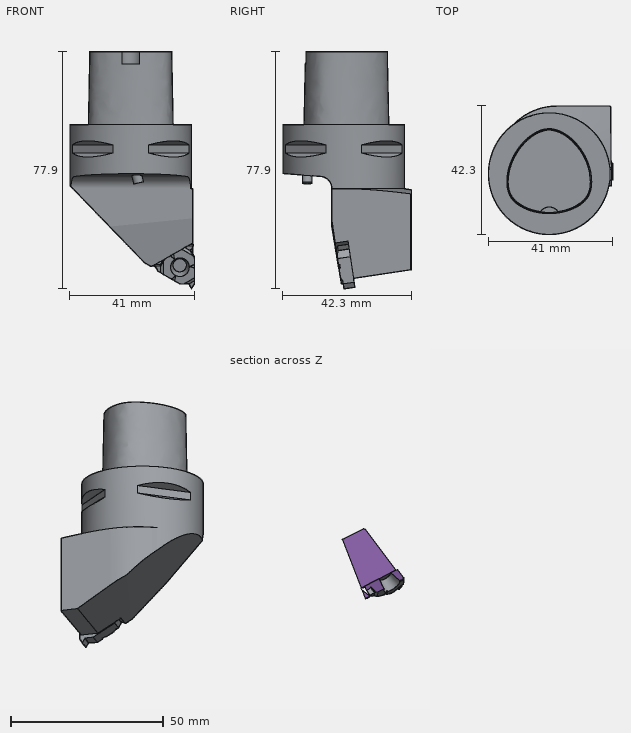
import cadquery as cq
import math

FLANGE_R = 40.0 / 2
FLANGE_DEPTH = 21.0
FAR = 78.0
SIN_60 = math.sin(math.radians(60))
COS_60 = math.cos(math.radians(60))

SHANK_HEIGHT = 24.0
SHANK_R_BASE = 13.95
SHANK_R_TOP = 13.5
LOBE_HEIGHT = 0.85
PROFILE_POINTS = 36
KEYWAY_R = 3.4
KEYWAY_DEPTH = 4.05
KEYWAY_INNER_Y = -10.9

SLOT_ANGLES = (45, 135, 225, 315)
SLOT_Z = -7.95
SLOT_FLOOR_R = 17.6
SLOT_FLOOR_WIDTH = 2.6
SLOT_WALL_ANGLE = 30.0

HEAD_SHIFT = (2.6, 2.3)
HEAD_BACK_Y = HEAD_SHIFT[1] + FLANGE_R
BACK_ARC_END = 130.0
BACK_FLAT_REACH = 3.9
HEAD_FRONT_Y = -4.0
HEAD_RIGHT_X = 20.4
HEAD_RIGHT_BACK_X = 20.2
CORNER_CHAMFER = 0.4
SHOULDER_ANGLE = 10.0
HEAD_BOTTOM_Z = -56.15

RELIEF_FILLET = 3.9
RELIEF_EDGE_Z = -16.1
RELIEF_INNER_Z = -17.0

SLOPE_START_Z = -20.0
SLOPE_ANGLE = 46.0

FOLD_POINT = (-6.6, -33.5)
RAKE_SLOPE = 0.15
FOLD_SLOPE = 0.1
INSERT_X = 16.15
INSERT_Z = -46.8

APOTHEM = 4.8
INSERT_THICKNESS = 4.2
CORNER_V = -5.6
TOOTH_INNER = (3.0, -5.8)
TOOTH_TIP = (3.8, -7.3)
TOOTH_RECESS = 0.55
RAMP_WIDTH = 0.9
RAMP_DISTANCE = 5.45
BORE_TOP_R = 6.15 / 2
BORE_BOTTOM_R = 2.2
MARK_WIDTH = 1.2
MARK_INNER_U = 3.1
MARK_V = 0.2
MARK_DEPTH = 0.4
HOLDER_INSET = 0.27
HOLDER_END_V = -4.4

NOZZLE_R = 3.3 / 2
NOZZLE_END = (2.6, -12.0, -19.1)
NOZZLE_TILT = 13.0
NOZZLE_LENGTH = 4.7


def rake_workplane():
    """Workplane on the rake face, centred on the insert, normal pointing out."""
    fold_z = FOLD_POINT[1] + FOLD_SLOPE * (INSERT_X - FOLD_POINT[0])
    face_y = HEAD_FRONT_Y + RAKE_SLOPE * (fold_z - INSERT_Z)
    plane = cq.Plane(
        origin=(INSERT_X, face_y, INSERT_Z),
        xDir=(1, RAKE_SLOPE * FOLD_SLOPE, 0),
        normal=(RAKE_SLOPE * FOLD_SLOPE, -1, -RAKE_SLOPE),
    )
    return cq.Workplane(plane)


RAKE = rake_workplane()


def lobed_profile(mean_r):
    """Closed curve of nearly constant width, with one lobe towards +Y."""
    points = []
    for i in range(PROFILE_POINTS):
        angle = 2 * math.pi * i / PROFILE_POINTS
        lobe_angle = 3 * (angle - math.pi / 2)
        reach = mean_r + LOBE_HEIGHT * math.cos(lobe_angle)
        reach_change = -3 * LOBE_HEIGHT * math.sin(lobe_angle)
        x = reach * math.cos(angle) - reach_change * math.sin(angle)
        y = reach * math.sin(angle) + reach_change * math.cos(angle)
        points.append((x, y))
    return points


def make_shank():
    shank = (
        cq.Workplane("XY")
        .spline(lobed_profile(SHANK_R_BASE), periodic=True).close()
        .workplane(offset=SHANK_HEIGHT)
        .spline(lobed_profile(SHANK_R_TOP), periodic=True).close()
        .loft(ruled=True)
    )
    keyway = (
        cq.Workplane("XY", origin=(0, KEYWAY_INNER_Y - KEYWAY_R, SHANK_HEIGHT - KEYWAY_DEPTH))
        .circle(KEYWAY_R)
        .extrude(KEYWAY_DEPTH)
    )
    return shank.cut(keyway)


def make_gripper_slot(angle):
    depth = FLANGE_R - SLOT_FLOOR_R
    floor_half = SLOT_FLOOR_WIDTH / 2
    mouth_half = floor_half + depth * math.tan(math.radians(SLOT_WALL_ANGLE))
    return (
        cq.Workplane("XZ", origin=(0, 0, SLOT_Z))
        .polyline([
            (SLOT_FLOOR_R, -floor_half), (FLANGE_R, -mouth_half),
            (FLANGE_R, mouth_half), (SLOT_FLOOR_R, floor_half),
        ])
        .close()
        .extrude(FLANGE_R, both=True)
        .rotate((0, 0, 0), (0, 0, 1), angle)
    )


def make_wedge():
    """Part of the head that stands outside the flange cylinder, with a conical top."""
    shift_x, shift_y = HEAD_SHIFT

    def on_back_arc(degrees):
        angle = math.radians(degrees)
        return (shift_x + FLANGE_R * math.cos(angle), shift_y + FLANGE_R * math.sin(angle))

    arc_end = on_back_arc(BACK_ARC_END)
    flat_end = (arc_end[0] - BACK_FLAT_REACH, arc_end[1] - BACK_FLAT_REACH)
    wedge = (
        cq.Workplane("XY", origin=(0, 0, HEAD_BOTTOM_Z))
        .moveTo(*flat_end)
        .lineTo(*arc_end)
        .threePointArc(on_back_arc((90 + BACK_ARC_END) / 2), on_back_arc(90))
        .lineTo(HEAD_RIGHT_BACK_X - CORNER_CHAMFER, HEAD_BACK_Y)
        .lineTo(HEAD_RIGHT_BACK_X, HEAD_BACK_Y - CORNER_CHAMFER)
        .lineTo(HEAD_RIGHT_X, HEAD_FRONT_Y)
        .lineTo(0, HEAD_FRONT_Y)
        .close()
        .extrude(-HEAD_BOTTOM_Z)
    )
    rim_r = 2 * FLANGE_R
    cone_drop = FLANGE_R * math.tan(math.radians(SHOULDER_ANGLE))
    above_shoulder = (
        cq.Workplane("XZ")
        .polyline([
            (0, cone_drop - FLANGE_DEPTH), (rim_r, -cone_drop - FLANGE_DEPTH),
            (rim_r, FLANGE_DEPTH), (0, FLANGE_DEPTH),
        ])
        .close()
        .revolve(360, (0, 0, 0), (0, 1, 0))
    )
    return wedge.cut(above_shoulder)


def make_front_relief():
    """Space in front of the head, running up into the flange with a round corner."""
    fillet_y = HEAD_FRONT_Y - RELIEF_FILLET
    fillet_z = RELIEF_INNER_Z - RELIEF_FILLET
    arc_step = RELIEF_FILLET * math.sqrt(0.5)
    return (
        cq.Workplane("YZ")
        .moveTo(-FAR, RELIEF_EDGE_Z)
        .lineTo(-FLANGE_R, RELIEF_EDGE_Z)
        .lineTo(fillet_y, RELIEF_INNER_Z)
        .threePointArc((fillet_y + arc_step, fillet_z + arc_step), (HEAD_FRONT_Y, fillet_z))
        .lineTo(HEAD_FRONT_Y, -FAR)
        .lineTo(-FAR, -FAR)
        .close()
        .extrude(FAR, both=True)
    )


def make_left_slope():
    drop = FAR * math.tan(math.radians(SLOPE_ANGLE))
    return (
        cq.Workplane("XZ")
        .polyline([
            (-FLANGE_R, SLOPE_START_Z), (-FLANGE_R + FAR, SLOPE_START_Z - drop),
            (-FAR, SLOPE_START_Z - drop), (-FAR, SLOPE_START_Z),
        ])
        .close()
        .extrude(FAR, both=True)
    )


def edge_point(u, distance):
    """Point at u on the lower-left insert edge direction, at a distance from centre."""
    return (u, -(distance + u * COS_60) / SIN_60)


def make_end_trim():
    """Material below the slanted end face and below the square end."""
    face_distance = APOTHEM - HOLDER_INSET
    corner_u = (-HOLDER_END_V * SIN_60 - face_distance) / COS_60
    return (
        RAKE.polyline([
            edge_point(-FAR, face_distance), (corner_u, HOLDER_END_V),
            (FAR, HOLDER_END_V), (FAR, -FAR), (-FAR, -FAR),
        ])
        .close()
        .extrude(FAR, both=True)
    )


def make_insert_pocket():
    """Pocket open downwards, with its upper wall on the insert's upper-left edge."""
    left = edge_point(-FAR, APOTHEM)
    right = edge_point(FAR, APOTHEM)
    return (
        RAKE.polyline([(left[0], -left[1]), (left[0], right[1]), right, (right[0], -right[1])])
        .close()
        .extrude(-INSERT_THICKNESS)
    )


def make_nozzle():
    tilt = math.radians(NOZZLE_TILT)
    plane = cq.Plane(
        origin=NOZZLE_END,
        xDir=(0, 1, 0),
        normal=(-math.sin(tilt), 0, math.cos(tilt)),
    )
    return cq.Workplane(plane).circle(NOZZLE_R).extrude(NOZZLE_LENGTH)


def make_holder():
    cylinder = cq.Workplane("XY").circle(FLANGE_R).extrude(HEAD_BOTTOM_Z)
    holder = cylinder.union(make_wedge()).cut(make_front_relief())
    for angle in SLOT_ANGLES:
        holder = holder.cut(make_gripper_slot(angle))
    above_rake = RAKE.rect(2 * FAR, 2 * FAR).extrude(FAR)
    below_flange = cq.Workplane("XY", origin=(0, 0, -FLANGE_DEPTH)).rect(2 * FAR, 2 * FAR).extrude(-FAR)
    holder = holder.cut(above_rake.intersect(below_flange))
    for cutter in (make_left_slope(), make_end_trim(), make_insert_pocket()):
        holder = holder.cut(cutter)
    return holder.union(make_shank()).union(make_nozzle())


def rotate_point(point, degrees):
    angle = math.radians(degrees)
    u, v = point
    return (
        u * math.cos(angle) - v * math.sin(angle),
        u * math.sin(angle) + v * math.cos(angle),
    )


def make_insert():
    edge_end_u = (-CORNER_V * SIN_60 - APOTHEM) / COS_60
    corner = [
        (edge_end_u, CORNER_V),
        (TOOTH_INNER[0], CORNER_V),
        TOOTH_INNER,
        TOOTH_TIP,
        (APOTHEM, CORNER_V),
    ]
    turns = (0, 120, 240)
    outline = [rotate_point(point, turn) for turn in turns for point in corner]
    insert = RAKE.polyline(outline).close().extrude(-INSERT_THICKNESS)

    across = 2 * APOTHEM
    for turn in turns:
        out_u, out_v = rotate_point((1, 0), turn - 60)
        out_dir = RAKE.plane.xDir * out_u + RAKE.plane.yDir * out_v
        side_dir = RAKE.plane.zDir.cross(out_dir)
        recess_plane = cq.Plane(origin=RAKE.plane.origin, xDir=out_dir, normal=side_dir * -1)
        recess = (
            cq.Workplane(recess_plane)
            .polyline([
                (RAMP_DISTANCE, 0), (RAMP_DISTANCE + RAMP_WIDTH, -TOOTH_RECESS),
                (across, -TOOTH_RECESS), (across, 0),
            ])
            .close()
            .extrude(across, both=True)
        )
        mark_corners = [
            (MARK_INNER_U, MARK_V),
            (APOTHEM, MARK_V - MARK_WIDTH / 2),
            (APOTHEM, MARK_V + MARK_WIDTH / 2),
        ]
        mark = (
            RAKE.polyline([rotate_point(point, turn) for point in mark_corners])
            .close()
            .extrude(-MARK_DEPTH)
        )
        insert = insert.cut(recess).cut(mark)

    bore = (
        RAKE.circle(BORE_TOP_R)
        .workplane(offset=-INSERT_THICKNESS)
        .circle(BORE_BOTTOM_R)
        .loft()
    )
    return insert.cut(bore)


holder = make_holder()
insert = make_insert()
result = cq.Compound.makeCompound([holder.solids().val(), insert.solids().val()])